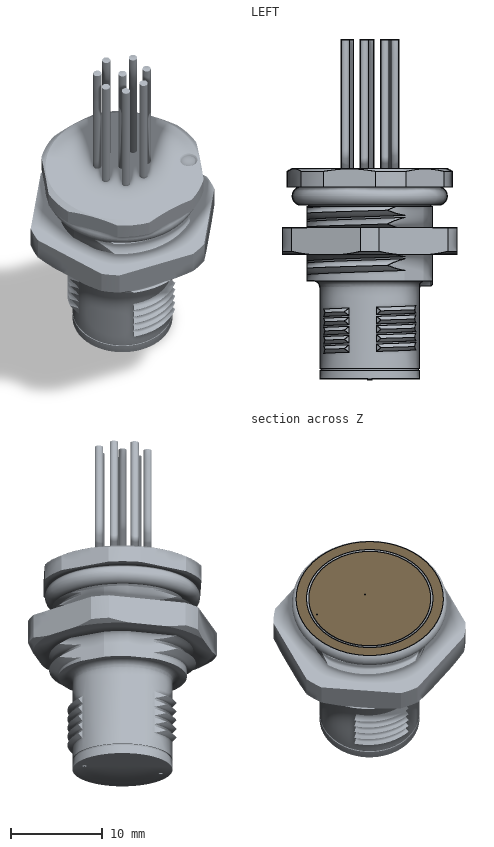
import cadquery as cq
import math

TOTAL_HEIGHT = 37.0
FOOT_HEIGHT = 0.1
SHOULDER_Z = 10.75
NUT_BOTTOM_Z = 13.65
NUT_HEIGHT = 2.92
BODY_TOP_Z = 18.87
FLANGE_BOTTOM_Z = 20.98
FLANGE_TOP_Z = 23.0

PLUG_RADIUS = 5.45
PLUG_THREAD_RADIUS = 6.0
PLUG_PITCH = 1.0
PLUG_ROOT_FLAT = 0.2
PLUG_TURNS = 5
PLUG_THREAD_START_Z = 2.75
PLUG_THREAD_START_ANGLE = -90
PLUG_GROOVE_Z = 1.05
PLUG_GROOVE_SIZE = 0.2
PLUG_GROOVE_DEPTH = 0.1
SHOULDER_FILLET = 0.7
FOOT_RADIUS = 0.22
FOOT_OFFSET = 4.33

PLUG_PATCHES = [
    ((113, 125.5), (155.5, 152.5)),
    ((188, 191.7), (247, 234.5)),
    ((320, 319.5), (380, 380.5)),
]

BODY_RADIUS = 7.0
BODY_THREAD_RADIUS = 8.0
BODY_PITCH = 1.5 * PLUG_PITCH
BODY_ROOT_FLAT = 0.22
BODY_THREAD_START_Z = 11.32
BODY_THREAD_START_ANGLE = -81
BODY_THREAD_START_CUT = (-61, -43.7)
FLAT_DISTANCE = 6.85
FLAT_ANGLES = (45, 90)
NECK_RADIUS = 6.65

KEY_HEIGHT = 0.55
KEY_TOP_WIDTH = 2.63
KEY_BOTTOM_WIDTH = 1.75
KEY_CHAMFER = 0.2
KEY_EMBED = 0.37

NUT_FLATS = 19.0
NUT_DIAMETER = 20.9
NUT_CHAMFER_DIAMETER = 19.45
NUT_CHAMFER_HEIGHT = 0.35
NUT_FLAT_ANGLE = 90

FLANGE_FLATS = 17.02
FLANGE_DIAMETER = 18.0
FLANGE_TOP_DIAMETER = 16.75
FLANGE_CHAMFER_HEIGHT = 0.35
FLANGE_FLAT_ANGLE = 45
MARK_OFFSET = 7.25
MARK_TOP_RADIUS = 0.95
MARK_BOTTOM_RADIUS = 0.78
MARK_DEPTH = 0.2

SEAL_RADIUS = 1.0
SEAL_OUTER_RADIUS = 8.45
SEAL_OVERLAP = 0.02

WIRE_RADIUS = 0.45
WIRE_CIRCLE_RADIUS = 2.75
RING_WIRES = 7
WIRE_STEP_ANGLE = 49.2
WIRE_MIDDLE_ANGLE = -45

THREAD_ROOT_SINK = 0.07
CLEARANCE = 0.75
THREAD_END_EXTENSION = 0.5


def cylinder(radius, bottom, top, x=0.0, y=0.0):
    return cq.Workplane("XY", origin=(x, y, bottom)).circle(radius).extrude(top - bottom)


def polar(radius, degrees):
    angle = math.radians(degrees)
    return radius * math.cos(angle), radius * math.sin(angle)


def end_line(root_radius, crest_radius, root_angle, crest_angle):
    """Inner and outer point of a slanted thread end through its root and crest points."""
    root_x, root_y = polar(root_radius, root_angle)
    crest_x, crest_y = polar(crest_radius, crest_angle)
    step_x = THREAD_END_EXTENSION * (crest_x - root_x)
    step_y = THREAD_END_EXTENSION * (crest_y - root_y)
    return (root_x - step_x, root_y - step_y), (crest_x + step_x, crest_y + step_y)


def thread_ridge(root_radius, crest_radius, pitch, start_z, start_angle, root_flat):
    """One turn of a right-handed V ridge whose crest starts at start_z and start_angle."""
    half_base = (pitch - root_flat) / 2
    sunk_radius = root_radius - THREAD_ROOT_SINK
    half_sunk_base = half_base * (crest_radius - sunk_radius) / (crest_radius - root_radius)
    path = cq.Workplane(obj=cq.Wire.makeHelix(pitch, pitch, root_radius))
    profile = cq.Workplane("XZ").polyline([
        (sunk_radius, -half_sunk_base),
        (crest_radius, 0),
        (sunk_radius, half_sunk_base),
    ]).close()
    ridge = profile.sweep(path, isFrenet=True)
    return ridge.rotate((0, 0, 0), (0, 0, 1), start_angle).translate((0, 0, start_z))


def rounded_hexagon(flats, diameter, bottom, height, flat_angle):
    """Hexagon prism with its corners turned down to a diameter."""
    hexagon = (
        cq.Workplane("XY", origin=(0, 0, bottom))
        .polygon(6, flats, circumscribed=True)
        .extrude(height)
        .rotate((0, 0, 0), (0, 0, 1), flat_angle)
    )
    return hexagon.intersect(cylinder(diameter / 2, bottom, bottom + height))


def chamfered_round(radius, end_radius, bottom, top, chamfer_height, at_top):
    """Turned blank that trims hexagon corners with a cone at one end."""
    if at_top:
        rim = [(radius, bottom), (radius, top - chamfer_height), (end_radius, top)]
    else:
        rim = [(end_radius, bottom), (radius, bottom + chamfer_height), (radius, top)]
    outline = [(0, bottom)] + rim + [(0, top)]
    return cq.Workplane("XZ").polyline(outline).close().revolve(360, (0, 0), (0, 1))


def plug():
    groove_top = PLUG_GROOVE_Z + PLUG_GROOVE_SIZE
    groove_radius = PLUG_RADIUS - PLUG_GROOVE_DEPTH
    fillet_side = SHOULDER_FILLET * (1 - math.sqrt(0.5))
    return (
        cq.Workplane("XZ")
        .moveTo(0, FOOT_HEIGHT)
        .lineTo(PLUG_RADIUS, FOOT_HEIGHT)
        .lineTo(PLUG_RADIUS, PLUG_GROOVE_Z)
        .lineTo(groove_radius, PLUG_GROOVE_Z)
        .lineTo(groove_radius, groove_top)
        .lineTo(PLUG_RADIUS, groove_top)
        .lineTo(PLUG_RADIUS, SHOULDER_Z - SHOULDER_FILLET)
        .threePointArc(
            (PLUG_RADIUS + fillet_side, SHOULDER_Z - fillet_side),
            (PLUG_RADIUS + SHOULDER_FILLET, SHOULDER_Z),
        )
        .lineTo(0, SHOULDER_Z)
        .close()
        .revolve(360, (0, 0), (0, 1))
    )


def feet():
    foot = cylinder(FOOT_RADIUS, 0, 2 * FOOT_HEIGHT, x=FOOT_OFFSET)
    return foot.union(foot.mirror("YZ"))


def patch_mask(first_end, last_end):
    """Prism that keeps the thread between two slanted ends."""
    arc_radius = PLUG_THREAD_RADIUS + CLEARANCE
    first_inner, first_outer = end_line(PLUG_RADIUS, PLUG_THREAD_RADIUS, *first_end)
    last_inner, last_outer = end_line(PLUG_RADIUS, PLUG_THREAD_RADIUS, *last_end)
    middle_angle = (first_end[1] + last_end[1]) / 2
    return (
        cq.Workplane("XY")
        .moveTo(*first_inner)
        .lineTo(*first_outer)
        .threePointArc(polar(arc_radius, middle_angle), last_outer)
        .lineTo(*last_inner)
        .close()
        .extrude(SHOULDER_Z)
    )


def threaded_plug():
    """Plug with one tooth per patch cut from a single turn, then repeated at the pitch."""
    core = cylinder(PLUG_RADIUS, PLUG_GROOVE_Z, SHOULDER_Z)
    ridge = thread_ridge(
        PLUG_RADIUS, PLUG_THREAD_RADIUS, PLUG_PITCH,
        PLUG_THREAD_START_Z, PLUG_THREAD_START_ANGLE, PLUG_ROOT_FLAT,
    )
    teeth = []
    for ends in PLUG_PATCHES:
        tooth = ridge.intersect(patch_mask(*ends)).cut(core)
        for turn in range(PLUG_TURNS):
            teeth += tooth.translate((0, 0, turn * PLUG_PITCH)).vals()
    return cq.Workplane(plug().val().fuse(*teeth, glue=True))


def flatted(blank, bottom, top):
    """Cut two pairs of flats, and down to the core between the flats of a pair."""
    size = 4 * BODY_THREAD_RADIUS
    height = top - bottom
    wedge = cq.Workplane("XY", origin=(0, 0, bottom)).polyline(
        [(0, 0)] + [polar(size, angle) for angle in FLAT_ANGLES]
    ).close().extrude(height)
    wedge = wedge.cut(cylinder(BODY_RADIUS, bottom, top))
    block = (
        cq.Workplane("XY", origin=(FLAT_DISTANCE, 0, bottom))
        .box(size, size, height, centered=(False, True, False))
    )
    for half_turn in (0, 180):
        blank = blank.cut(wedge.rotate((0, 0, 0), (0, 0, 1), half_turn))
        for angle in FLAT_ANGLES:
            blank = blank.cut(block.rotate((0, 0, 0), (0, 0, 1), angle + half_turn))
    return blank


def thread_start_cut():
    """Prism that slants off the lowest end of the body thread."""
    inner, outer = end_line(BODY_RADIUS, BODY_THREAD_RADIUS, *BODY_THREAD_START_CUT)
    far_y = -2 * BODY_THREAD_RADIUS
    return (
        cq.Workplane("XY")
        .polyline([inner, outer, (outer[0], far_y), (0, far_y), (0, inner[1])])
        .close()
        .extrude(BODY_THREAD_START_Z + BODY_PITCH / 2)
    )


def threaded_body():
    """Flatted core, with the teeth cut from a single turn and repeated at the pitch."""
    core = flatted(cylinder(BODY_RADIUS, SHOULDER_Z, BODY_TOP_Z), SHOULDER_Z, BODY_TOP_Z)
    turn_bottom = BODY_THREAD_START_Z - BODY_PITCH
    turn_top = BODY_THREAD_START_Z + 2 * BODY_PITCH
    envelope_radius = BODY_THREAD_RADIUS + CLEARANCE
    turn_envelope = flatted(cylinder(envelope_radius, turn_bottom, turn_top), turn_bottom, turn_top)
    ridge = thread_ridge(
        BODY_RADIUS, BODY_THREAD_RADIUS, BODY_PITCH,
        BODY_THREAD_START_Z, BODY_THREAD_START_ANGLE, BODY_ROOT_FLAT,
    )
    single_turn = ridge.intersect(turn_envelope).cut(cylinder(BODY_RADIUS, turn_bottom, turn_top))
    body_envelope = cylinder(envelope_radius, SHOULDER_Z, BODY_TOP_Z)
    turn_count = math.ceil((BODY_TOP_Z + BODY_PITCH / 2 - BODY_THREAD_START_Z) / BODY_PITCH)
    teeth = []
    for turn in range(turn_count):
        turn_teeth = single_turn.translate((0, 0, turn * BODY_PITCH))
        if turn == 0:
            turn_teeth = turn_teeth.cut(thread_start_cut())
        teeth += turn_teeth.intersect(body_envelope).solids().vals()
    return cq.Workplane(core.val().fuse(*teeth, glue=True))


def shoulder_key():
    """Tapered key under the shoulder, flush with the flat on the -Y side."""
    bottom = SHOULDER_Z - KEY_HEIGHT
    top_half = KEY_TOP_WIDTH / 2
    bottom_half = KEY_BOTTOM_WIDTH / 2
    start = PLUG_RADIUS - KEY_EMBED
    key = (
        cq.Workplane("XZ", origin=(0, -start, 0))
        .polyline([
            (-top_half, SHOULDER_Z),
            (-bottom_half, bottom),
            (bottom_half, bottom),
            (top_half, SHOULDER_Z),
        ])
        .close()
        .extrude(FLAT_DISTANCE - start)
    )
    return key.faces("<Y").edges("not >Z").chamfer(KEY_CHAMFER)


def nut():
    top = NUT_BOTTOM_Z + NUT_HEIGHT
    prism = rounded_hexagon(NUT_FLATS, NUT_DIAMETER, NUT_BOTTOM_Z, NUT_HEIGHT, NUT_FLAT_ANGLE)
    return prism.intersect(chamfered_round(
        NUT_DIAMETER / 2, NUT_CHAMFER_DIAMETER / 2, NUT_BOTTOM_Z, top, NUT_CHAMFER_HEIGHT, at_top=False
    ))


def flange():
    prism = rounded_hexagon(
        FLANGE_FLATS, FLANGE_DIAMETER, FLANGE_BOTTOM_Z, FLANGE_TOP_Z - FLANGE_BOTTOM_Z, FLANGE_FLAT_ANGLE
    )
    prism = prism.intersect(chamfered_round(
        FLANGE_DIAMETER / 2, FLANGE_TOP_DIAMETER / 2, FLANGE_BOTTOM_Z, FLANGE_TOP_Z,
        FLANGE_CHAMFER_HEIGHT, at_top=True,
    ))
    mark_x, mark_y = polar(MARK_OFFSET, FLANGE_FLAT_ANGLE)
    mark = (
        cq.Workplane("XY", origin=(mark_x, mark_y, FLANGE_TOP_Z))
        .circle(MARK_TOP_RADIUS)
        .workplane(offset=-MARK_DEPTH)
        .circle(MARK_BOTTOM_RADIUS)
        .loft()
    )
    return prism.cut(mark)


def seal():
    centre_z = FLANGE_BOTTOM_Z - SEAL_RADIUS + SEAL_OVERLAP
    centre_radius = SEAL_OUTER_RADIUS - SEAL_RADIUS
    ring = (
        cq.Workplane("XZ")
        .center(centre_radius, centre_z)
        .circle(SEAL_RADIUS)
        .revolve(360, (-centre_radius, 0), (-centre_radius, 1))
    )
    neck = cylinder(NECK_RADIUS, BODY_TOP_Z, FLANGE_BOTTOM_Z)
    return neck.union(ring)


def wires():
    positions = [(0, 0)]
    for index in range(RING_WIRES):
        angle = WIRE_MIDDLE_ANGLE + WIRE_STEP_ANGLE * (index - (RING_WIRES - 1) / 2)
        positions.append(polar(WIRE_CIRCLE_RADIUS, angle))
    return (
        cq.Workplane("XY", origin=(0, 0, FLANGE_TOP_Z))
        .pushPoints(positions)
        .circle(WIRE_RADIUS)
        .extrude(TOTAL_HEIGHT - FLANGE_TOP_Z)
    )


result = threaded_plug()
for piece in (threaded_body(), feet(), shoulder_key(), seal(), flange(), nut(), wires()):
    result = result.union(piece)